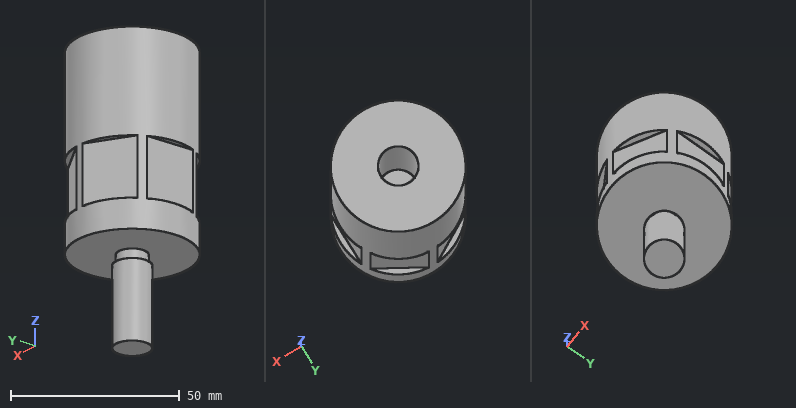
import cadquery as cq

total_length = 95.0
body_diameter = 40.0
body_length = 65.0

flat_count = 6
across_flats = 36.0
flat_height = 20.0
collar_height = 10.0

stud_diameter = 12.0
neck_diameter = 9.8
neck_length = 3.5
stud_length = total_length - body_length

bore_diameter = stud_diameter
bore_depth = stud_length


def cylinder(diameter, bottom, height):
    """Vertical cylinder on the part axis."""
    return cq.Workplane("XY").workplane(offset=bottom).circle(diameter / 2).extrude(height)


def flats_cutter():
    """Ring with a hexagonal opening whose flats include the +X and -X sides."""
    outer = cylinder(2 * body_diameter, collar_height, flat_height)
    hexagon = (
        cq.Workplane("XY")
        .workplane(offset=collar_height)
        .polygon(flat_count, across_flats, circumscribed=True)
        .extrude(flat_height)
    )
    return outer.cut(hexagon)


body = cylinder(body_diameter, 0, body_length).cut(flats_cutter())
bore = cylinder(bore_diameter, body_length - bore_depth, bore_depth)
neck = cylinder(neck_diameter, -neck_length, neck_length)
stud = cylinder(stud_diameter, -stud_length, stud_length - neck_length)

result = body.cut(bore).union(neck).union(stud)